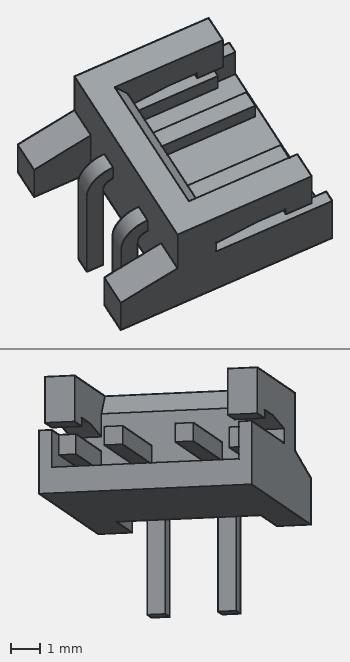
import cadquery as cq

housing_width = 7.5
housing_height = 4.2
wall_front_y = 0.0
wall_top_thickness = 1.0
wall_base_thickness = 1.5
back_y = 6.0
foot_length = 2.2
foot_width = 1.2
foot_tip_height = 1.62
rim_height = 2.2
rim_thickness = 0.45
ledge_setback = 1.0
ledge_end_y = back_y - ledge_setback
ledge_bottom_z = 1.5
floor_thickness = 0.9

wall_bevel_height = 0.7

arm_width = 1.05
arm_setback = 0.8
arm_tip_depth = 1.3
arm_root_depth = 1.5
hook_length = 1.0
hook_depth = 1.6
arm_tip_y = back_y - arm_setback
hook_bottom_z = housing_height - hook_depth
arm_underside_z = housing_height - arm_tip_depth
arm_root_z = housing_height - arm_root_depth
arm_slope_start_y = 3.1

pin_pitch = 2.5
pin_size = 0.64
pin_top_z = 2.32
pin_setback = 0.5
pin_tip_y = back_y - pin_setback
pin_bend_inner_radius = 0.38
pin_bend_outer_radius = pin_bend_inner_radius + pin_size
pin_bottom_z = -3.2


def extrude_along_x(outline, center_x, width):
    """Extrude a closed (Y, Z) outline by width, centred on center_x."""
    return outline.extrude(width / 2, both=True).translate((center_x, 0, 0))


def yz_polygon(points, center_x, width):
    """Extrude a polygon of (Y, Z) points along X."""
    outline = cq.Workplane("YZ").polyline(points).close()
    return extrude_along_x(outline, center_x, width)


def make_wall():
    """Front wall with a bevelled inner top edge."""
    points = [
        (wall_front_y, 0),
        (wall_base_thickness, 0),
        (wall_base_thickness, housing_height - wall_bevel_height),
        (wall_top_thickness, housing_height),
        (wall_front_y, housing_height),
    ]
    return yz_polygon(points, 0, housing_width)


def make_floor():
    """Flat floor of the tray."""
    return cq.Workplane("XY").box(
        housing_width, back_y, floor_thickness, centered=(True, False, False)
    )


def make_side_block(side, end_y, bottom_z, width):
    """Block flush with the side of the housing, from the wall front back to end_y, up to the rim height."""
    points = [
        (wall_front_y, bottom_z),
        (end_y, bottom_z),
        (end_y, rim_height),
        (wall_front_y, rim_height),
    ]
    return yz_polygon(points, side * (housing_width - width) / 2, width)


def make_rim(side):
    """Thin side rim that runs to the back of the floor."""
    return make_side_block(side, back_y, 0, rim_thickness)


def make_ledge(side):
    """Ledge that overhangs the floor from the rim, below the latch arm."""
    return make_side_block(side, ledge_end_y, ledge_bottom_z, arm_width)


def make_arm(side):
    """Latch arm that reaches back from the wall and ends in a downward hook."""
    hook_inner_y = arm_tip_y - hook_length
    points = [
        (wall_front_y, rim_height),
        (wall_base_thickness, rim_height),
        (wall_base_thickness, arm_root_z),
        (arm_slope_start_y, arm_underside_z),
        (hook_inner_y, arm_underside_z),
        (hook_inner_y, hook_bottom_z),
        (arm_tip_y, hook_bottom_z),
        (arm_tip_y, housing_height),
        (wall_front_y, housing_height),
    ]
    return yz_polygon(points, side * (housing_width - arm_width) / 2, arm_width)


def make_foot(side):
    """Foot in front of the wall with a top that slopes down to its tip."""
    points = [
        (wall_front_y, 0),
        (wall_front_y, rim_height),
        (wall_front_y - foot_length, foot_tip_height),
        (wall_front_y - foot_length, 0),
    ]
    return yz_polygon(points, side * (housing_width - foot_width) / 2, foot_width)


def make_pin(side):
    """Square pin that runs through the wall and bends down in front of it."""
    outer_leg_y = wall_front_y - pin_bend_outer_radius
    inner_leg_y = wall_front_y - pin_bend_inner_radius
    underside_z = pin_top_z - pin_size
    bend_center_z = pin_top_z - pin_bend_outer_radius
    outline = (
        cq.Workplane("YZ")
        .moveTo(pin_tip_y, pin_top_z)
        .lineTo(wall_front_y, pin_top_z)
        .radiusArc((outer_leg_y, bend_center_z), -pin_bend_outer_radius)
        .lineTo(outer_leg_y, pin_bottom_z)
        .lineTo(inner_leg_y, pin_bottom_z)
        .lineTo(inner_leg_y, bend_center_z)
        .radiusArc((wall_front_y, underside_z), pin_bend_inner_radius)
        .lineTo(pin_tip_y, underside_z)
        .close()
    )
    return extrude_along_x(outline, side * pin_pitch / 2, pin_size)


result = make_wall().union(make_floor())
for side in (-1, 1):
    for make_feature in (make_rim, make_ledge, make_arm, make_foot, make_pin):
        result = result.union(make_feature(side))